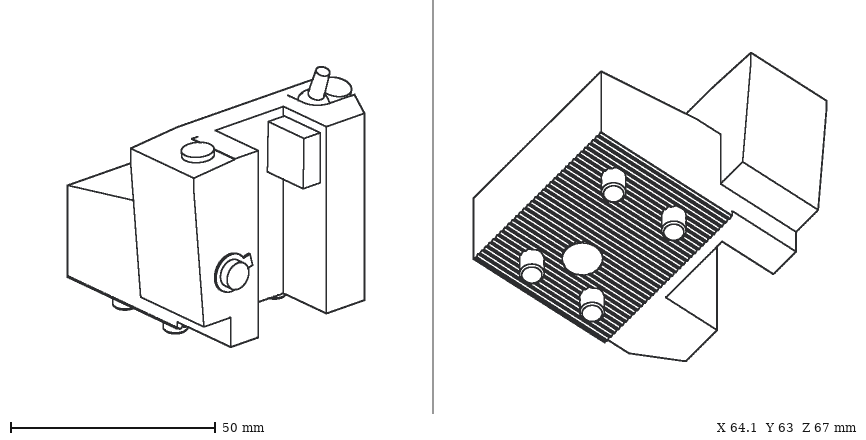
import cadquery as cq
import math

overall_top = 60.65
pin_length = 6.3

base_length = 41.1
base_width = 50.0
base_left_height = 24.9
base_height = 30.1
base_flat_start = 30.0
tooth_pitch = 1.5
tooth_depth = 0.55
groove_half_width = 0.6

head_left = 37.4
head_right = 61.1
head_bottom = 2.15
head_top = 52.2
head_front = -11.9
overhang_bottom = 10.1
lip_bottom = 47.25
lean_angle = 5
slope_start_y = 3.15
web_right = 45.05
slot_front = 8.9
slot_back = 30.9
level_pad_front = 1.35
corner_cut_x = 12.4
corner_cut_y = 6.75

pocket_left = 40.6
pocket_front = 36.15
pocket_length = 10.0
pocket_tilt = 15
pocket_corner_radius = 4.35
control_offset = 4.8
knob_diameter = 8.0
knob_height = 2.15
knob_y = 47.05
dome_radius = 4.15
dome_sink = 1.5
lever_y = 40.5
lever_tilt = 20
lever_root_radius = 2.15
lever_tip_radius = 1.75

button_diameter = 8.0
button_height = 1.5
button_x = 52.6
button_y = -3.2

dial_y = -0.3
dial_z = 22.3
dial_diameter = 9.9
dial_thickness = 0.55
dial_knob_diameter = 7.0
dial_end = 64.1
pointer_length = 6.7
pointer_width = 3.35
pointer_tilt = 15

pad_left = 46.3
pad_size = 13.4
pad_top = 50.3
pad_gap = 0.8
pad_thickness = 5.2
pad_front_flare = 0.3
neck_diameter = 7.5
neck_x = 54.1

pin_diameter = 6.0
pin_chamfer = 0.55
pin_x = 20.55
pin_y = base_width / 2
pin_spacing_x = 18.9
pin_spacing_y = 32.0
disc_diameter = 9.9
disc_y = 33.0
disc_drop = 0.3

embed = 0.7


def box(x_range, y_range, z_range):
    """Box between the given lower and upper limits."""
    spans = [high - low for low, high in (x_range, y_range, z_range)]
    corner = (x_range[0], y_range[0], z_range[0])
    return cq.Workplane("XY").box(*spans, centered=False).translate(corner)


def rod(origin, direction, diameter, length):
    """Cylinder standing on origin along direction, rooted a little below it."""
    plane = cq.Plane(origin=origin, normal=direction)
    return cq.Workplane(plane).workplane(offset=-embed).circle(diameter / 2).extrude(length + embed)


def make_base():
    outline = [
        (0, 0),
        (base_length, 0),
        (base_length, base_height),
        (base_flat_start, base_height),
        (0, base_left_height),
    ]
    block = cq.Workplane("XZ").polyline(outline).close().extrude(-base_width)
    grooves_per_half = math.ceil(base_width / 2 / tooth_pitch)
    grooves = cq.Workplane("YZ")
    for index in range(-grooves_per_half, grooves_per_half):
        y = base_width / 2 + (index + 0.5) * tooth_pitch
        grooves = grooves.polyline(
            [(y - groove_half_width, 0), (y, tooth_depth), (y + groove_half_width, 0)]
        ).close()
    return block.cut(grooves.extrude(base_length))


def slope_height(y):
    """Height of the sloped front part of the head top."""
    return head_top - (slope_start_y - y) * math.tan(math.radians(lean_angle))


def make_head():
    lean = (lip_bottom - overhang_bottom) * math.tan(math.radians(lean_angle))
    side_outline = [
        (base_width, head_bottom),
        (base_width, head_top),
        (slope_start_y, head_top),
        (head_front, slope_height(head_front)),
        (head_front, lip_bottom),
        (head_front + lean, overhang_bottom),
        (0, overhang_bottom),
        (0, head_bottom),
    ]
    head_length = head_right - head_left
    head = (
        cq.Workplane("YZ").workplane(offset=head_left).polyline(side_outline).close().extrude(head_length)
    )
    level_pad = box(
        (web_right, head_right), (level_pad_front, slot_front), (lip_bottom, head_top)
    )
    slot = box((web_right, head_right), (slot_front, slot_back), (head_bottom, head_top))
    corner = (
        cq.Workplane("XY")
        .polyline([
            (head_right, base_width),
            (head_right - corner_cut_x, base_width),
            (head_right, base_width - corner_cut_y),
        ])
        .close()
        .extrude(head_top)
    )
    return head.union(level_pad).cut(slot).cut(corner)


tilt = math.radians(pocket_tilt)
pocket_plane = cq.Plane(
    origin=(pocket_left, pocket_front, head_top),
    xDir=(math.cos(tilt), 0, -math.sin(tilt)),
    normal=(math.sin(tilt), 0, math.cos(tilt)),
)


def make_pocket():
    pocket_width = base_width - pocket_front
    return (
        cq.Workplane(pocket_plane)
        .lineTo(pocket_length - pocket_corner_radius, 0)
        .radiusArc((pocket_length, pocket_corner_radius), -pocket_corner_radius)
        .lineTo(pocket_length, pocket_width)
        .lineTo(0, pocket_width)
        .close()
        .extrude(pocket_length)
    )


def make_controls():
    knob_center = pocket_plane.toWorldCoords((control_offset, knob_y - pocket_front, 0))
    knob = cq.Workplane(
        cq.Plane(origin=knob_center, xDir=pocket_plane.xDir, normal=pocket_plane.zDir)
    ).circle(knob_diameter / 2).extrude(knob_height)

    pivot = pocket_plane.toWorldCoords((control_offset, lever_y - pocket_front, -dome_sink))
    dome = cq.Workplane("XY").sphere(dome_radius).translate(pivot)

    lean = math.radians(lever_tilt)
    lever_length = (overall_top - pivot.z - lever_tip_radius * math.sin(lean)) / math.cos(lean)
    lever = cq.Solid.makeCone(
        lever_root_radius,
        lever_tip_radius,
        lever_length,
        pnt=pivot,
        dir=cq.Vector(math.sin(lean), 0, math.cos(lean)),
    )
    return knob.union(dome).union(cq.Workplane(lever))


def make_button():
    lean = math.radians(lean_angle)
    origin = (button_x, button_y, slope_height(button_y))
    return rod(origin, (0, -math.sin(lean), math.cos(lean)), button_diameter, button_height)


def make_dial():
    center = (head_right, dial_y, dial_z)
    disc = rod(center, (1, 0, 0), dial_diameter, dial_thickness)
    knob = rod(center, (1, 0, 0), dial_knob_diameter, dial_end - head_right)
    pointer = (
        cq.Workplane("XY")
        .box(dial_thickness, pointer_length, pointer_width, centered=(False, False, True))
        .rotate((0, 0, 0), (1, 0, 0), pointer_tilt)
        .translate(center)
    )
    return disc.union(pointer).union(knob)


def make_clamp_pad():
    pad_back = slot_back - pad_gap
    pad_front = pad_back - pad_thickness
    pad_bottom = pad_top - pad_size
    outline = [
        (pad_back, pad_top),
        (pad_front, pad_top),
        (pad_front - pad_front_flare, pad_bottom),
        (pad_back, pad_bottom),
    ]
    pad = cq.Workplane("YZ").workplane(offset=pad_left).polyline(outline).close().extrude(pad_size)
    neck_center = (neck_x, slot_back, pad_top - pad_size / 2)
    return pad.union(rod(neck_center, (0, -1, 0), neck_diameter, pad_gap + embed))


def make_underside():
    root = tooth_depth + embed
    pins = (
        cq.Workplane("XY", origin=(pin_x, pin_y, root))
        .rarray(pin_spacing_x, pin_spacing_y, 2, 2)
        .circle(pin_diameter / 2)
        .extrude(-(root + pin_length))
        .faces("<Z")
        .chamfer(pin_chamfer)
    )
    disc = (
        cq.Workplane("XY", origin=(pin_x, disc_y, root))
        .circle(disc_diameter / 2)
        .extrude(-(root + disc_drop))
    )
    return pins.union(disc)


body = make_base().union(make_head()).cut(make_pocket())
for feature in (make_controls(), make_button(), make_dial(), make_clamp_pad(), make_underside()):
    body = body.union(feature)
result = body